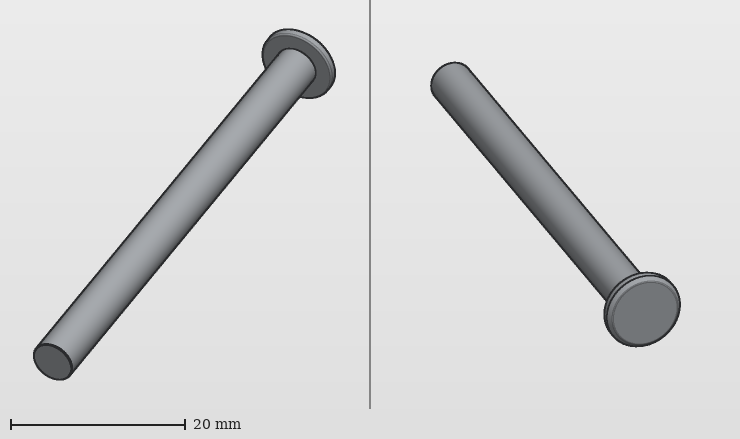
import cadquery as cq

shank_diameter = 5.0
shank_length = 60.0
shank_end_chamfer = 0.1
head_diameter = 9.0
head_thickness = 1.5
head_chamfer = 0.5
head_edge_fillet = 0.2


def make_shank():
    """Cylinder from the head seat to the chamfered free end."""
    shank = cq.Workplane("XZ").circle(shank_diameter / 2).extrude(shank_length)
    return shank.faces("<Y").edges().chamfer(shank_end_chamfer)


def make_head():
    """Disc bevelled on its outer rim, with both end-face edges rounded."""
    disc = cq.Workplane("XZ").circle(head_diameter / 2).extrude(-head_thickness)
    bevelled = disc.faces(">Y").edges().chamfer(head_chamfer)
    return bevelled.faces(">Y or <Y").edges().fillet(head_edge_fillet)


result = make_head().union(make_shank())